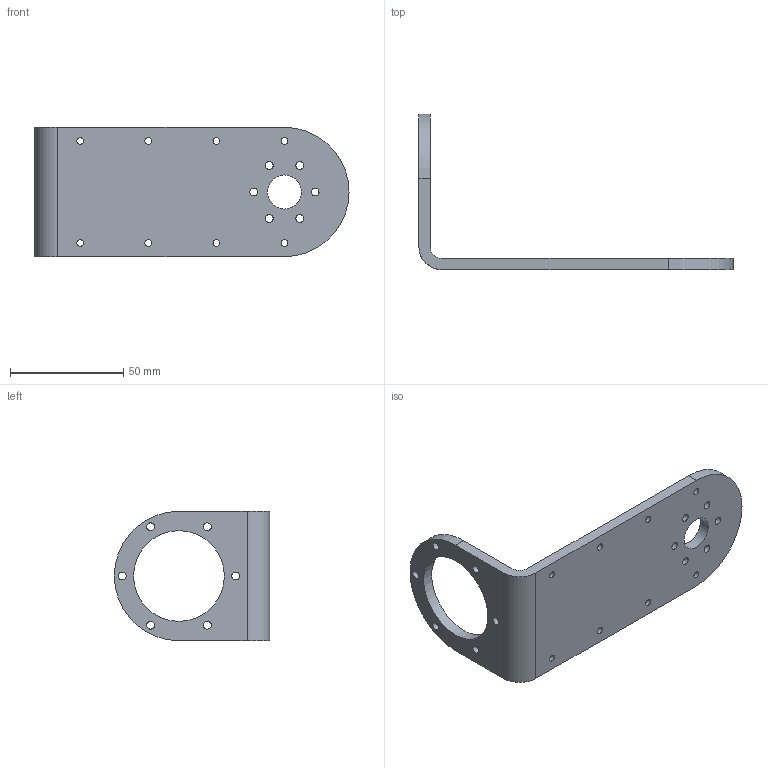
import cadquery as cq

thickness = 5.0
height = 57.0
end_radius = height / 2
bend_inner_radius = 5.0
bend_outer_radius = bend_inner_radius + thickness

long_centre_x = 110.0
short_centre_y = 40.0
long_length = long_centre_x + end_radius
short_length = short_centre_y + end_radius

shaft_hole_diameter = 15.0
shaft_bolt_circle = 27.0
shaft_bolt_diameter = 3.5
edge_hole_diameter = 3.0
edge_hole_pitch = 30.0
edge_hole_columns = 4
edge_hole_rows = 2
edge_row_spacing = 45.0

motor_hole_diameter = 40.0
motor_bolt_circle = 50.0
motor_bolt_diameter = 3.5

bolts_per_circle = 6


def bent_plate():
    """Plate of L-shaped section with concentric inner and outer bend radii."""
    section = (
        cq.Workplane("XY")
        .workplane(offset=-height / 2)
        .polyline([
            (0, 0),
            (long_length, 0),
            (long_length, thickness),
            (thickness, thickness),
            (thickness, short_length),
            (0, short_length),
        ])
        .close()
        .extrude(height)
    )
    outer_bend = section.edges(cq.NearestToPointSelector((0, 0, 0))).fillet(bend_outer_radius)
    inner_corner = cq.NearestToPointSelector((thickness, thickness, 0))
    return outer_bend.edges(inner_corner).fillet(bend_inner_radius)


def rounded_leg(plane, centre):
    """Outline of a leg, from the bend's outer face to a full half-round end."""
    return (
        plane
        .moveTo(0, -end_radius)
        .lineTo(centre, -end_radius)
        .threePointArc((centre + end_radius, 0), (centre, end_radius))
        .lineTo(0, end_radius)
        .close()
    )


def bolt_pattern(plane, centre, hole_diameter, bolt_circle, bolt_diameter, depth):
    """Central hole and its ring of bolt holes, as a cutting body."""
    central = plane.center(centre, 0).circle(hole_diameter / 2).extrude(depth)
    bolts = (
        plane.center(centre, 0)
        .polarArray(bolt_circle / 2, 0, 360, bolts_per_circle)
        .circle(bolt_diameter / 2)
        .extrude(depth)
    )
    return central.union(bolts)


def edge_holes(plane):
    """Two rows of holes along the long leg, ending level with the shaft hole."""
    row_centre_x = long_centre_x - edge_hole_pitch * (edge_hole_columns - 1) / 2
    return (
        plane.center(row_centre_x, 0)
        .rarray(edge_hole_pitch, edge_row_spacing, edge_hole_columns, edge_hole_rows)
        .circle(edge_hole_diameter / 2)
        .extrude(-thickness)
    )


long_leg_plane = cq.Workplane("XZ")
short_leg_plane = cq.Workplane("YZ")

bracket = (
    bent_plate()
    .intersect(rounded_leg(long_leg_plane, long_centre_x).extrude(-short_length))
    .intersect(rounded_leg(short_leg_plane, short_centre_y).extrude(long_length))
)

shaft_mount = bolt_pattern(
    long_leg_plane, long_centre_x, shaft_hole_diameter, shaft_bolt_circle, shaft_bolt_diameter, -thickness
)
motor_mount = bolt_pattern(
    short_leg_plane, short_centre_y, motor_hole_diameter, motor_bolt_circle, motor_bolt_diameter, thickness
)

result = bracket.cut(shaft_mount).cut(edge_holes(long_leg_plane)).cut(motor_mount)